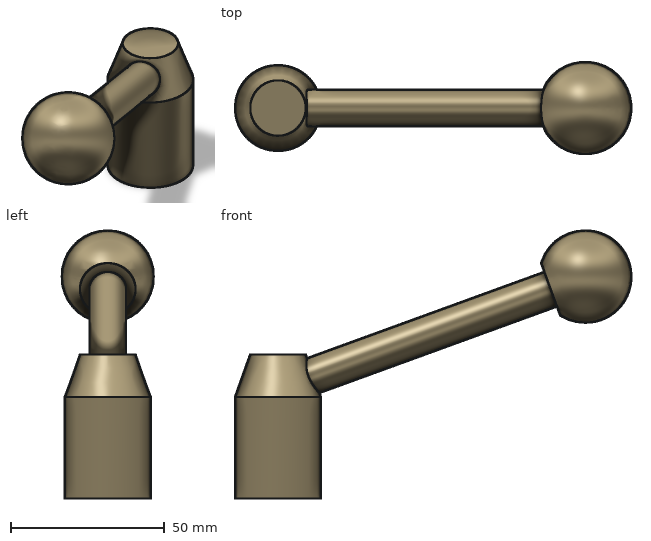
import cadquery as cq
import math

hub_diameter = 28.0
hub_top_diameter = 18.0
shoulder_height = 33.0
hub_height = 47.0

arm_diameter = 12.0
arm_angle = 20.0
ball_reach = 100.0

ball_diameter = 30.0
ball_center_height = 72.2
ball_flat_offset = 12.0

ball_center = cq.Vector(ball_reach, 0, ball_center_height)
arm_slope = math.radians(arm_angle)
arm_direction = cq.Vector(math.cos(arm_slope), 0, math.sin(arm_slope))
arm_length = ball_reach / math.cos(arm_slope)
arm_start = ball_center - arm_direction * arm_length


def make_hub():
    hub_radius = hub_diameter / 2
    profile = (
        cq.Workplane("XZ")
        .moveTo(0, 0)
        .lineTo(hub_radius, 0)
        .lineTo(hub_radius, shoulder_height)
        .lineTo(hub_top_diameter / 2, hub_height)
        .lineTo(0, hub_height)
        .close()
    )
    return profile.revolve(360, (0, 0, 0), (0, 1, 0))


def make_arm():
    rod = cq.Solid.makeCylinder(arm_diameter / 2, arm_length, arm_start, arm_direction)
    return cq.Workplane(obj=rod)


def make_ball():
    """Sphere trimmed by a plane square to the arm."""
    radius = ball_diameter / 2
    flat_center = ball_center - arm_direction * ball_flat_offset
    kept_length = ball_flat_offset + ball_diameter
    kept_side = cq.Solid.makeCylinder(ball_diameter, kept_length, flat_center, arm_direction)
    sphere = cq.Workplane("XY").sphere(radius).translate(ball_center)
    return sphere.intersect(cq.Workplane(obj=kept_side))


result = make_hub().union(make_arm()).union(make_ball())